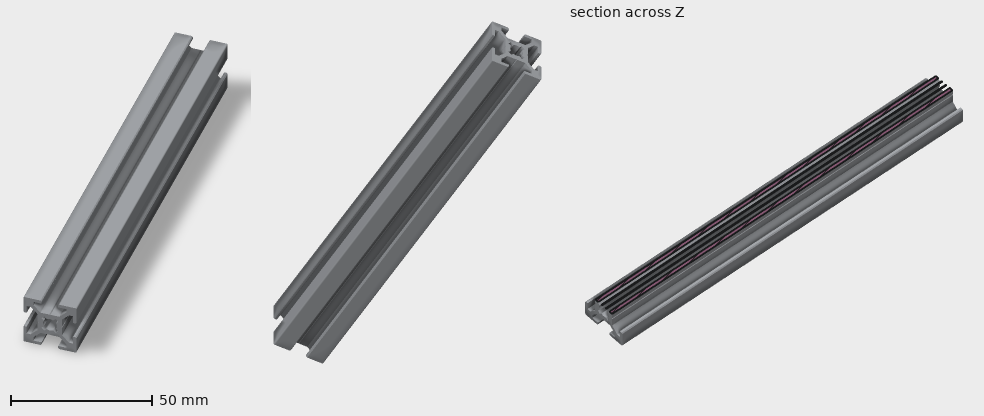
import cadquery as cq
import math

LENGTH = 160.0
SIDE = 20.0
CORNER_RADIUS = 0.5

OPENING_WIDTH = 6.2
LIP_THICKNESS = 1.3
LIP_CHAMFER = 0.4
SLOT_WIDTH = 12.3
WEB_THICKNESS = 1.5
CORE_SIDE = 9.1
GROOVE_DEPTH = 0.24

BORE_DIAMETER = 5.1
RELIEF_WIDTH = 1.5
RELIEF_SPAN = 7.5

half_side = SIDE / 2
web_offset = WEB_THICKNESS / math.sqrt(2)


def along_length(outline):
    """Extrude a closed outline on the end face along the full length of the part."""
    return outline.extrude(-LENGTH)


def profile_plane():
    """Plane of the -Y end face, with its local axes along X and Z."""
    return cq.Workplane("XZ", origin=(0, -LENGTH / 2, 0))


def slot():
    """T-slot of the +Z side, symmetric about the YZ plane."""
    half_opening = OPENING_WIDTH / 2
    half_slot = SLOT_WIDTH / 2
    half_core = CORE_SIDE / 2
    lip_underside = half_side - LIP_THICKNESS
    right_side = [
        (GROOVE_DEPTH, half_core),
        (half_core - web_offset, half_core),
        (half_slot, half_slot + web_offset),
        (half_slot, lip_underside),
        (half_opening, lip_underside),
        (half_opening, half_side - LIP_CHAMFER),
        (half_opening + LIP_CHAMFER, half_side),
    ]
    left_side = [(-x, z) for x, z in reversed(right_side)]
    groove_bottom = (0, half_core - GROOVE_DEPTH)
    outline = [groove_bottom] + right_side + left_side
    return along_length(profile_plane().polyline(outline).close())


def bore():
    """Round bore with two crossing diagonal relief slots."""
    cutter = along_length(profile_plane().circle(BORE_DIAMETER / 2))
    for angle in (45, 135):
        relief = along_length(profile_plane().rect(RELIEF_SPAN, RELIEF_WIDTH))
        cutter = cutter.union(relief.rotate((0, 0, 0), (0, 1, 0), angle))
    return cutter


def bar():
    """Solid square bar with rounded long edges."""
    return along_length(profile_plane().rect(SIDE, SIDE)).edges("|Y").fillet(CORNER_RADIUS)


result = bar()
for quarter_turn in range(4):
    result = result.cut(slot().rotate((0, 0, 0), (0, 1, 0), 90 * quarter_turn))
result = result.cut(bore())